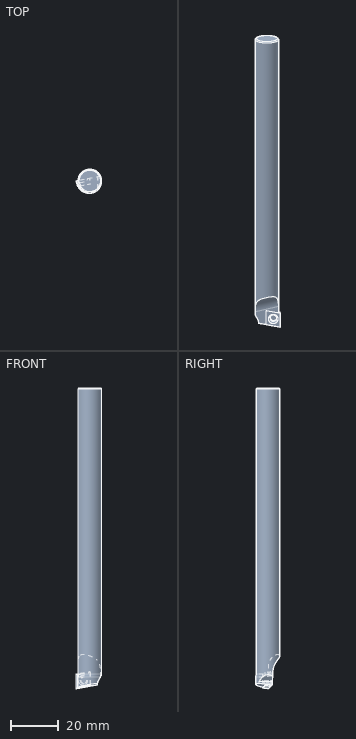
import cadquery as cq
import math

TOTAL_LENGTH = 126.2
SHANK_DIAMETER = 10.0
SHANK_RADIUS = SHANK_DIAMETER / 2
TOP_CHAMFER = 0.5

HEAD_RADIUS = 5.24
HEAD_OFFSET_X = -0.3
HEAD_TOP_Z = 6.2
FLARE_END_Z = 5.0
RELIEF_TOP_Z = 5.9
RELIEF_KNEE = (3.4, 3.0)
RELIEF_FOOT_X = 2.9
BOTTOM_GAP = 0.19
BOTTOM_CLEARANCE = 7.0

TIP_X = -5.87
RAKE_ANGLE = 11.0
FLUTE_START_Z = 9.3
FLUTE_RADIUS = 6.6
FLUTE_SLOPE = 14.0

INSERT_CORNER_ANGLE = 80.0
INSERT_SIDE = 5.7
INSERT_CORNER_RADIUS = 0.3
INSERT_THICKNESS = 2.4
INSERT_CLEARANCE = 7.0
HOLE_DIAMETER = 2.8
COUNTERSINK_DIAMETER = 4.0
COUNTERSINK_ANGLE = 60.0

CUT_SIZE = 25.2

RAKE = math.radians(RAKE_ANGLE)
EDGE_RISE = math.radians(90.0 - INSERT_CORNER_ANGLE)

RAKE_PLANE = cq.Plane(
    origin=(TIP_X, 0, 0),
    xDir=(math.cos(RAKE), math.sin(RAKE), 0),
    normal=(math.sin(RAKE), -math.cos(RAKE), 0),
)


def make_shank():
    """Round bar from the head up to the chamfered end."""
    bar = cq.Workplane("XY").workplane(offset=HEAD_TOP_Z).circle(SHANK_RADIUS)
    return bar.extrude(TOTAL_LENGTH - HEAD_TOP_Z).faces(">Z").chamfer(TOP_CHAMFER)


def make_head():
    """Offset round that blends into the shank, with its relief and sloping bottom."""
    flare = (
        cq.Workplane("XY").workplane(offset=HEAD_TOP_Z).circle(SHANK_RADIUS)
        .workplane(offset=FLARE_END_Z - HEAD_TOP_Z).center(HEAD_OFFSET_X, 0).circle(HEAD_RADIUS)
        .loft()
    )
    lower = cq.Workplane("XY").center(HEAD_OFFSET_X, 0).circle(HEAD_RADIUS).extrude(FLARE_END_Z)
    outline = (
        cq.Workplane("XZ")
        .polyline([
            (-CUT_SIZE, 0), (RELIEF_FOOT_X, 0), RELIEF_KNEE,
            (SHANK_RADIUS, RELIEF_TOP_Z), (SHANK_RADIUS, HEAD_TOP_Z), (-CUT_SIZE, HEAD_TOP_Z),
        ])
        .close().extrude(CUT_SIZE, both=True)
    )
    return flare.union(lower).intersect(outline).cut(make_bottom_cut())


def make_bottom_cut():
    """Block whose top rises towards +X with the cutting edge and towards -Y for clearance."""
    block = cq.Workplane("XY").box(2 * CUT_SIZE, 2 * CUT_SIZE, CUT_SIZE, centered=(True, True, False))
    return (
        block.translate((0, 0, -CUT_SIZE))
        .rotate((0, 0, 0), (1, 0, 0), -BOTTOM_CLEARANCE)
        .rotate((0, 0, 0), (0, 1, 0), -math.degrees(EDGE_RISE))
        .translate((TIP_X, 0, BOTTOM_GAP))
    )


def make_flute_cut():
    """Chip flute: the flat rake face, running out upwards along an arc."""
    slope = math.radians(FLUTE_SLOPE)
    across = RAKE_PLANE.xDir * math.cos(slope) - cq.Vector(0, 0, math.sin(slope))
    outward = -RAKE_PLANE.zDir
    section = cq.Plane(origin=(TIP_X, 0, FLUTE_START_Z), xDir=outward, normal=across)
    middle = math.radians(45)
    arc_middle = (FLUTE_RADIUS * (1 - math.cos(middle)), FLUTE_RADIUS * math.sin(middle))
    return (
        cq.Workplane(section)
        .moveTo(0, -CUT_SIZE).lineTo(0, 0)
        .threePointArc(arc_middle, (FLUTE_RADIUS, FLUTE_RADIUS))
        .lineTo(FLUTE_RADIUS, -CUT_SIZE)
        .close().extrude(CUT_SIZE, both=True)
    )


def make_insert_blank():
    """Rhombic insert without its hole; it also shapes the seat."""
    left = INSERT_CORNER_RADIUS / math.cos(RAKE)
    bottom = INSERT_CORNER_RADIUS
    edge_x = INSERT_SIDE * math.cos(EDGE_RISE)
    edge_z = INSERT_SIDE * math.sin(EDGE_RISE)
    return (
        cq.Workplane(RAKE_PLANE)
        .polyline([
            (left, bottom), (left + edge_x, bottom + edge_z),
            (left + edge_x, bottom + edge_z + INSERT_SIDE), (left, bottom + INSERT_SIDE),
        ])
        .close().offset2D(INSERT_CORNER_RADIUS)
        .extrude(INSERT_THICKNESS, taper=INSERT_CLEARANCE)
    )


def make_insert():
    """Insert with a countersunk hole through its middle."""
    middle_x = INSERT_CORNER_RADIUS / math.cos(RAKE) + INSERT_SIDE * math.cos(EDGE_RISE) / 2
    middle_z = INSERT_CORNER_RADIUS + INSERT_SIDE * (1 + math.sin(EDGE_RISE)) / 2
    hole_plane = cq.Workplane(RAKE_PLANE).center(middle_x, middle_z)
    hole = hole_plane.circle(HOLE_DIAMETER / 2).extrude(INSERT_THICKNESS)
    sink_depth = COUNTERSINK_DIAMETER / 2 / math.tan(math.radians(COUNTERSINK_ANGLE / 2))
    sink = cq.Workplane(cq.Solid.makeCone(
        COUNTERSINK_DIAMETER / 2, 0, sink_depth,
        pnt=hole_plane.plane.origin, dir=RAKE_PLANE.zDir,
    ))
    sink_limit = hole_plane.circle(COUNTERSINK_DIAMETER / 2).extrude(INSERT_THICKNESS)
    return make_insert_blank().cut(hole).cut(sink.intersect(sink_limit))


holder = make_shank().union(make_head()).cut(make_flute_cut()).cut(make_insert_blank())
insert = make_insert()

result = cq.Compound.makeCompound([holder.solids().val(), insert.solids().val()])